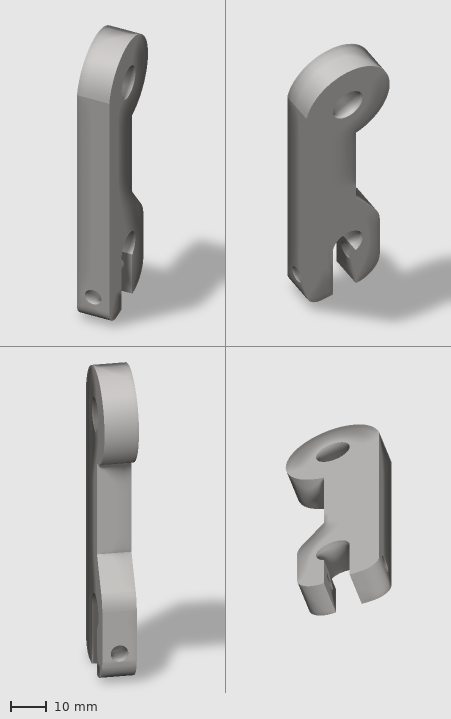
import cadquery as cq
import math

thickness = 9.9
length = 93.2
head_radius = 14.2
bore_diameter = 10.1
front_y = -13.9
waist_y = 2.7
hook_y = 10.8
waist_bottom_z = -41.85
hook_shoulder_z = -53.5
shoulder_radius = 8.95
hook_toe_radius = 7.55
front_toe_radius = 5.3
seat_z = -60.5
seat_radius = bore_diameter / 2
pin_diameter = 5.0
pin_height = 9.7
position_tolerance = 0.01

bottom_z = head_radius - length
head_front_z = math.sqrt(head_radius**2 - front_y**2)
head_back_z = -math.sqrt(head_radius**2 - waist_y**2)


def shoulder_edge(edge):
    """True for the thickness-direction edge at the hook shoulder."""
    center = edge.Center()
    return math.hypot(center.y - hook_y, center.z - hook_shoulder_z) < position_tolerance


def make_body():
    """Extrude the arm outline, then round the shoulder and both toes."""
    body = (
        cq.Workplane("YZ")
        .moveTo(front_y, bottom_z)
        .lineTo(front_y, head_front_z)
        .threePointArc((0, head_radius), (head_radius, 0))
        .threePointArc(
            (head_radius * math.sqrt(0.5), -head_radius * math.sqrt(0.5)),
            (waist_y, head_back_z),
        )
        .lineTo(waist_y, waist_bottom_z)
        .lineTo(hook_y, hook_shoulder_z)
        .lineTo(hook_y, bottom_z)
        .close()
        .extrude(thickness / 2, both=True)
    )
    shoulder = [edge for edge in body.edges("|X").vals() if shoulder_edge(edge)]
    body = body.newObject(shoulder).fillet(shoulder_radius)
    body = body.faces("<Z").edges("<Y").fillet(front_toe_radius)
    return body.faces("<Z").edges(">Y").fillet(hook_toe_radius)


def x_cylinder(diameter, z):
    """Cutter along X through the full thickness, centred on Y = 0."""
    return (
        cq.Workplane("YZ")
        .center(0, z)
        .circle(diameter / 2)
        .extrude(thickness, both=True)
    )


def make_slot():
    """Open-bottomed slot, tangent to the front of its round seat."""
    width = waist_y + seat_radius
    height = seat_z - bottom_z
    channel = cq.Workplane("XY").box(2 * thickness, width, height).translate(
        (0, (waist_y - seat_radius) / 2, (seat_z + bottom_z) / 2)
    )
    return channel.union(x_cylinder(2 * seat_radius, seat_z))


def make_pin_hole():
    """Hole along Y through both legs of the hook."""
    return (
        cq.Workplane("XZ")
        .center(0, bottom_z + pin_height)
        .circle(pin_diameter / 2)
        .extrude(length, both=True)
    )


result = (
    make_body()
    .cut(x_cylinder(bore_diameter, 0))
    .cut(make_slot())
    .cut(make_pin_hole())
)